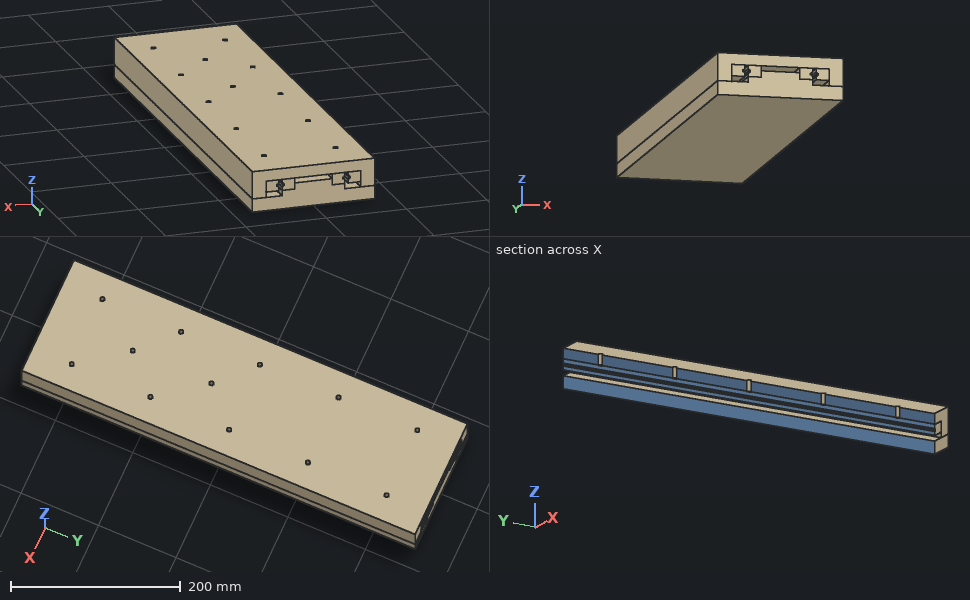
import cadquery as cq

LENGTH = 508.0
WIDTH = 152.5
HEIGHT = 51.0

PARTING_HEIGHT = 17.0
RAIL_SEAT_HEIGHT = 23.5
RAIL_HEIGHT = 13.5
CAVITY_TOP = RAIL_SEAT_HEIGHT + RAIL_HEIGHT
CREST_HEIGHT = 31.0

CAVITY_HALF_WIDTH = 59.0
RAIL_WIDTH = 16.0
RAIL_GAP = 4.0
OUTER_RAIL_FACE = CAVITY_HALF_WIDTH - RAIL_WIDTH
PEDESTAL_HALF_WIDTH = OUTER_RAIL_FACE - RAIL_GAP
CREST_HALF_WIDTH = PEDESTAL_HALF_WIDTH - RAIL_WIDTH

GROOVE_HALF_HEIGHT = 2.5
RELIEF_HALF_HEIGHT = 0.75
RELIEF_DEPTH = 2.5

HOLE_DIAMETER = 5.0
HOLE_PITCH = 101.5
SIDE_HOLE_ROWS = 5
SIDE_HOLE_X = 44.5
CENTRE_HOLE_ROWS = 2
CENTRE_HOLE_MIDDLE_Y = -93.5


def extrude_along_slide(outline):
    """Extrude a closed XZ outline over the full slide length, centred on Y = 0."""
    return cq.Workplane("XZ").polyline(outline).close().extrude(LENGTH / 2, both=True)


def mirrored_outline(right_half):
    """Complete an outline from its +X half."""
    left_half = [(-x, z) for x, z in reversed(right_half)]
    return right_half + left_half


def make_base():
    return extrude_along_slide(mirrored_outline([
        (WIDTH / 2, 0),
        (WIDTH / 2, PARTING_HEIGHT),
        (PEDESTAL_HALF_WIDTH, PARTING_HEIGHT),
        (PEDESTAL_HALF_WIDTH, RAIL_SEAT_HEIGHT),
        (CREST_HALF_WIDTH, RAIL_SEAT_HEIGHT),
        (CREST_HALF_WIDTH, CREST_HEIGHT),
    ]))


def table_hole_centres():
    side_start = -HOLE_PITCH * (SIDE_HOLE_ROWS - 1) / 2
    side = [
        (x, side_start + row * HOLE_PITCH)
        for x in (-SIDE_HOLE_X, SIDE_HOLE_X)
        for row in range(SIDE_HOLE_ROWS)
    ]
    centre_start = CENTRE_HOLE_MIDDLE_Y - HOLE_PITCH * (CENTRE_HOLE_ROWS - 1) / 2
    centre = [(0, centre_start + row * HOLE_PITCH) for row in range(CENTRE_HOLE_ROWS)]
    return side + centre


def make_table():
    channel = extrude_along_slide(mirrored_outline([
        (CAVITY_HALF_WIDTH, CAVITY_TOP),
        (CAVITY_HALF_WIDTH, PARTING_HEIGHT),
        (WIDTH / 2, PARTING_HEIGHT),
        (WIDTH / 2, HEIGHT),
    ]))
    holes = (
        cq.Workplane("XY", origin=(0, 0, CAVITY_TOP))
        .pushPoints(table_hole_centres())
        .circle(HOLE_DIAMETER / 2)
        .extrude(HEIGHT - CAVITY_TOP)
    )
    return channel.cut(holes)


def make_rail(running_face_x, direction):
    """Rail whose grooved face is at running_face_x and whose body lies toward direction (+1 or -1)."""
    groove_z = RAIL_SEAT_HEIGHT + RAIL_HEIGHT / 2
    back_x = running_face_x + direction * RAIL_WIDTH
    relief_mouth_x = running_face_x + direction * (GROOVE_HALF_HEIGHT - RELIEF_HALF_HEIGHT)
    relief_floor_x = running_face_x + direction * RELIEF_DEPTH
    return extrude_along_slide([
        (back_x, RAIL_SEAT_HEIGHT),
        (back_x, CAVITY_TOP),
        (running_face_x, CAVITY_TOP),
        (running_face_x, groove_z + GROOVE_HALF_HEIGHT),
        (relief_mouth_x, groove_z + RELIEF_HALF_HEIGHT),
        (relief_floor_x, groove_z + RELIEF_HALF_HEIGHT),
        (relief_floor_x, groove_z - RELIEF_HALF_HEIGHT),
        (relief_mouth_x, groove_z - RELIEF_HALF_HEIGHT),
        (running_face_x, groove_z - GROOVE_HALF_HEIGHT),
        (running_face_x, RAIL_SEAT_HEIGHT),
    ])


base = make_base()
table = make_table()
outer_rails = [make_rail(side * OUTER_RAIL_FACE, side) for side in (-1, 1)]
inner_rails = [make_rail(side * PEDESTAL_HALF_WIDTH, -side) for side in (-1, 1)]

result = cq.Compound.makeCompound([
    base.val(),
    table.val(),
    *[rail.val() for rail in outer_rails],
    *[rail.val() for rail in inner_rails],
])